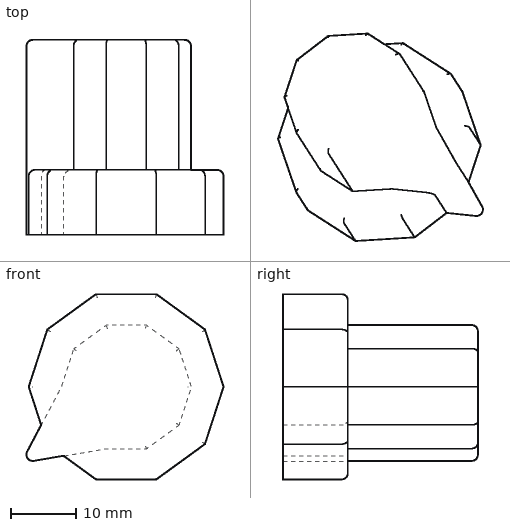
import cadquery as cq
import math

SIDES = 10
BASE_RADIUS = 15.0
BASE_THICKNESS = 10.0
GRIP_RADIUS = 10.0
TOTAL_LENGTH = 30.0
POINTER_REACH = 20.0
POINTER_TIP_RADIUS = 1.0
EDGE_FILLET = 1.0

CORNER_STEP = 360.0 / SIDES
POINTER_ANGLE = 180.0 + CORNER_STEP


def polar(radius, angle):
    """Point in the XZ plane at the given angle in degrees."""
    return (radius * math.cos(math.radians(angle)), radius * math.sin(math.radians(angle)))


def prism(points, length):
    """Closed outline in the XZ plane, extruded from Y = 0 towards +Y."""
    return cq.Workplane("XZ").polyline(points).close().extrude(-length)


def make_base():
    corners = [polar(BASE_RADIUS, i * CORNER_STEP) for i in range(SIDES)]
    return prism(corners, BASE_THICKNESS).faces(">Y").edges().fillet(EDGE_FILLET)


def make_grip():
    """Decagon with one corner drawn out into a pointer with a rounded tip."""
    corners = []
    for i in range(SIDES):
        angle = i * CORNER_STEP
        is_pointer = math.isclose(angle, POINTER_ANGLE)
        corners.append(polar(POINTER_REACH if is_pointer else GRIP_RADIUS, angle))
    tip_x, tip_z = polar(POINTER_REACH, POINTER_ANGLE)
    tip_edge = cq.selectors.NearestToPointSelector((tip_x, TOTAL_LENGTH / 2, tip_z))
    grip = prism(corners, TOTAL_LENGTH).edges(tip_edge).fillet(POINTER_TIP_RADIUS)
    return grip.faces(">Y").edges().fillet(EDGE_FILLET)


result = make_base().union(make_grip())